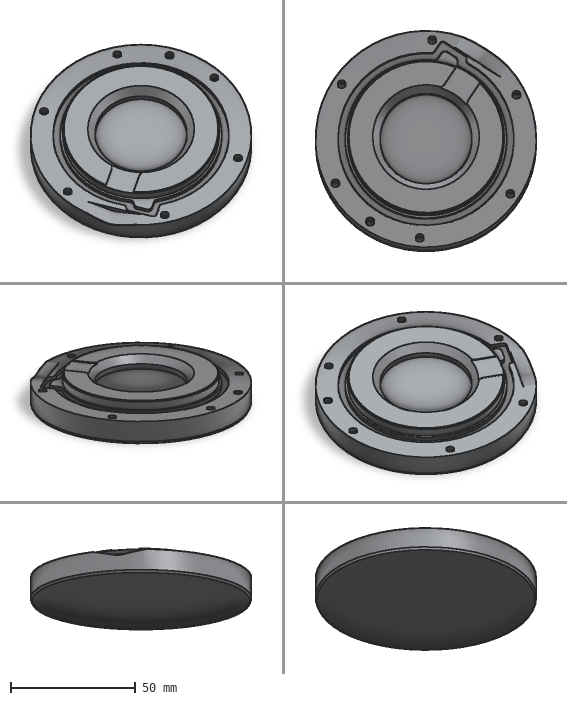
import cadquery as cq
import math

flange_diameter = 89.0
flange_height = 9.7
bottom_chamfer_height = 1.1
bottom_chamfer_width = 0.5
boss_diameter = 63.0
total_height = 13.6
boss_chamfer = 0.45

bowl_mouth_diameter = 42.9
bowl_well_diameter = 37.0
bowl_cone_depth = 3.2
bowl_depth = 5.4

channel_width = 11.6
channel_depth = boss_chamfer
channel_flare = 0.45
channel_flare_start = 22.1
channel_flare_end = 20.3

groove_outer_radius = 35.4
groove_inner_radius = 32.6
groove_depth = 1.6
lobe_right = 17.1
lobe_front = 37.4
lobe_slant_left = 3.8
lobe_slant_right = 5.1
lobe_inner_slant_left = 6.2
lobe_inner_slant_right = 7.5
lobe_wall_offset = 2.8
lobe_outer_fillet = 1.3
lobe_inner_fillet = 1.8

hole_circle_radius = 40.8
hole_diameter = 3.3
rear_hole_diameter = 3.0
rear_countersink_diameter = 3.5
hole_depth = 5.3
drill_point_angle = 118.0
hole_angles = (0, 60, 120, 180, 240, 300)
rear_hole_angle = 90

notch_half_width = 10.6
notch_depth = 2.3
notch_back = 37.8
notch_root_radius = 7.1
notch_edge_radius = 3.1
notch_rim_chamfer = 0.2


def cylinder(diameter, bottom, height):
    return cq.Workplane("XY").workplane(offset=bottom).circle(diameter / 2).extrude(height)


def make_body():
    radius = flange_diameter / 2
    boss_radius = boss_diameter / 2
    profile = [
        (0, 0),
        (radius - bottom_chamfer_width, 0),
        (radius, bottom_chamfer_height),
        (radius, flange_height),
        (boss_radius, flange_height),
        (boss_radius, total_height - boss_chamfer),
        (boss_radius - boss_chamfer, total_height),
        (0, total_height),
    ]
    return cq.Workplane("XZ").polyline(profile).close().revolve(360, (0, 0), (0, 1))


def make_bowl():
    profile = [
        (0, total_height - bowl_depth),
        (bowl_well_diameter / 2, total_height - bowl_depth),
        (bowl_well_diameter / 2, total_height - bowl_cone_depth),
        (bowl_mouth_diameter / 2, total_height),
        (0, total_height),
    ]
    return cq.Workplane("XZ").polyline(profile).close().revolve(360, (0, 0), (0, 1))


def make_channel():
    half = channel_width / 2
    outline = [
        (half + channel_flare, -channel_flare_end),
        (half, -channel_flare_start),
        (half, -flange_diameter / 2),
        (-half, -flange_diameter / 2),
        (-half, -channel_flare_start),
        (-half - channel_flare, -channel_flare_end),
    ]
    floor = total_height - channel_depth
    return cq.Workplane("XY").workplane(offset=floor).polyline(outline).close().extrude(channel_depth)


def lobed_disc(radius, slant_left, slant_right, front, right, fillet):
    """Disc with a front-right lobe whose corners are rounded."""
    floor = flange_height - groove_depth
    slant_start = -math.sqrt(radius**2 - slant_left**2)
    outline = [
        (0, 0),
        (slant_left, slant_start),
        (slant_right, -front),
        (right, -front),
        (right, 0),
    ]
    lobe = cq.Workplane("XY").workplane(offset=floor).polyline(outline).close().extrude(groove_depth)
    disc = cylinder(2 * radius, floor, groove_depth).union(lobe)
    margin = 0.9
    corners = cq.selectors.BoxSelector(
        (0, -front - margin, 0), (right + margin, -radius / 2, total_height)
    )
    return disc.edges("|Z").edges(corners).fillet(fillet)


def make_groove():
    outer = lobed_disc(
        groove_outer_radius,
        lobe_slant_left,
        lobe_slant_right,
        lobe_front,
        lobe_right,
        lobe_outer_fillet,
    )
    inner = lobed_disc(
        groove_inner_radius,
        lobe_inner_slant_left,
        lobe_inner_slant_right,
        lobe_front - lobe_wall_offset,
        lobe_right - lobe_wall_offset,
        lobe_inner_fillet,
    )
    return outer.cut(inner)


def make_hole(angle, diameter):
    radius = diameter / 2
    point_height = radius / math.tan(math.radians(drill_point_angle / 2))
    floor = flange_height - hole_depth
    profile = [
        (0, floor - point_height),
        (radius, floor),
        (radius, flange_height),
        (0, flange_height),
    ]
    hole = cq.Workplane("XZ").polyline(profile).close().revolve(360, (0, 0), (0, 1))
    return hole.translate((hole_circle_radius, 0, 0)).rotate((0, 0, 0), (0, 0, 1), angle)


def make_countersink():
    depth = (rear_countersink_diameter - rear_hole_diameter) / 2
    mouth = cq.Workplane("XY", origin=(hole_circle_radius, 0, flange_height))
    cone = mouth.circle(rear_countersink_diameter / 2).extrude(-depth, taper=45)
    return cone.rotate((0, 0, 0), (0, 0, 1), rear_hole_angle)


def make_notch():
    """V prism, open above the flange, with a rounded root and rounded upper edges."""
    reach = flange_diameter / 2
    profile = [
        (-reach, flange_height),
        (-notch_half_width, flange_height),
        (0, flange_height - notch_depth),
        (notch_half_width, flange_height),
        (reach, flange_height),
        (reach, total_height),
        (-reach, total_height),
    ]
    notch = cq.Workplane("XZ", origin=(0, -notch_back, 0)).polyline(profile).close().extrude(reach)
    notch = notch.edges("|Y").edges("<Z").fillet(notch_root_radius)
    margin = 0.1
    upper_edges = cq.selectors.BoxSelector(
        (-notch_half_width - margin, -flange_diameter, flange_height - margin),
        (notch_half_width + margin, 0, flange_height + margin),
    )
    return notch.edges("|Y").edges(upper_edges).fillet(notch_edge_radius)


def make_notch_rim_chamfer(body):
    """Sliver that breaks the edge where the notch meets the outer rim, kept to the notch width."""
    radius = flange_diameter / 2
    margin = 0.9
    rim_band = 1.3
    sink = 0.02
    rim_region = cq.selectors.BoxSelector(
        (-notch_half_width - margin, -radius - margin, flange_height - notch_depth),
        (notch_half_width + margin, -radius + rim_band, flange_height - sink),
    )
    chamfered = body.edges(rim_region).edges("not |Y").chamfer(notch_rim_chamfer)
    notch_span = cq.Workplane("XY", origin=(0, -radius, total_height / 2)).box(
        2 * notch_half_width, radius, total_height
    )
    return body.cut(chamfered).intersect(notch_span)


result = make_body().cut(make_notch())
result = result.cut(make_notch_rim_chamfer(result))
result = result.cut(make_bowl()).cut(make_channel()).cut(make_groove())
for hole_angle in hole_angles:
    result = result.cut(make_hole(hole_angle, hole_diameter))
result = result.cut(make_countersink())
result = result.cut(make_hole(rear_hole_angle, rear_hole_diameter))